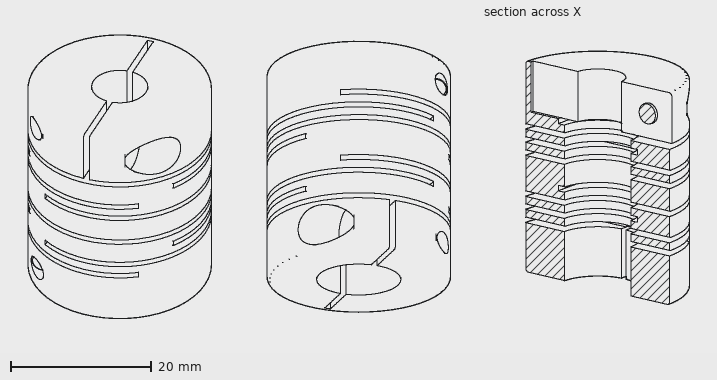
import cadquery as cq

length = 31.5
outer_diameter = 26.2
outer_radius = outer_diameter / 2
edge_fillet = 0.5
upper_bore_diameter = 8.0
lower_bore_diameter = 12.0

slit_width = 0.88
slit_depth = 7.5
slit_end = 12.05

slot_height = 0.75
slot_pitch = 1.95
slot_reach = 7.12
slot_group_pitch = 10.02
first_slot_top = length - slit_depth

screw_diameter = 3.02
screw_offset = 8.98
screw_height = slit_depth / 2
screw_tip_chamfer = 0.25
screw_tip_distance = 7.95
counterbore_diameter = 6.0
counterbore_seat = 5.42

LEFT = (-1, 0)
RIGHT = (1, 0)
FRONT = (0, -1)
BACK = (0, 1)

upper_group_sides = (FRONT, BACK, LEFT, RIGHT)
lower_group_sides = (FRONT, BACK, RIGHT, LEFT)


def make_body():
    """Stepped tube: small bore through the upper hub, large bore through the rest."""
    body = cq.Workplane("XY").circle(outer_radius).extrude(length)
    body = body.edges().fillet(edge_fillet)
    upper_bore = cq.Workplane("XY").circle(upper_bore_diameter / 2).extrude(length)
    lower_bore = cq.Workplane("XY").circle(lower_bore_diameter / 2).extrude(first_slot_top)
    return body.cut(upper_bore).cut(lower_bore)


def side_cut(side, reach, width, bottom, height):
    """Box open towards one side that ends at `reach` past the axis on the other side."""
    span = outer_radius + reach
    middle = (outer_radius - reach) / 2
    size_x = span if side[0] else width
    size_y = span if side[1] else width
    return (
        cq.Workplane("XY")
        .box(size_x, size_y, height, centered=(True, True, False))
        .translate((side[0] * middle, side[1] * middle, bottom))
    )


def cut_flexure_slots(body):
    for group, sides in enumerate((upper_group_sides, lower_group_sides)):
        for index, side in enumerate(sides):
            top = first_slot_top - group * slot_group_pitch - index * slot_pitch
            bottom = top - slot_height
            body = body.cut(side_cut(side, slot_reach, outer_diameter, bottom, slot_height))
    return body


def rod(slit_side, head_side, height, diameter, start, end):
    """Cylinder on the screw axis, from `start` to `end` measured towards the screw head."""
    origin = cq.Vector(
        slit_side[0] * screw_offset + head_side[0] * start,
        slit_side[1] * screw_offset + head_side[1] * start,
        height,
    )
    direction = cq.Vector(head_side[0], head_side[1], 0)
    return cq.Workplane(cq.Solid.makeCylinder(diameter / 2, end - start, origin, direction))


def add_clamp(body, slit_side, head_side, slit_bottom, height):
    """Slit one hub, then place its screw with a recessed tip and a counterbore for the head."""
    body = body.cut(side_cut(slit_side, slit_end, slit_width, slit_bottom, slit_depth))

    tip_foot = -screw_tip_distance + screw_tip_chamfer
    tip_hole = rod(slit_side, head_side, height, screw_diameter, -outer_radius, tip_foot)
    counterbore = rod(
        slit_side, head_side, height, counterbore_diameter, counterbore_seat, outer_radius
    )
    body = body.cut(tip_hole).cut(counterbore)

    screw = rod(
        slit_side, head_side, height, screw_diameter, -screw_tip_distance, counterbore_seat
    )
    tip_face = cq.NearestToPointSelector(
        (
            slit_side[0] * screw_offset - head_side[0] * screw_tip_distance,
            slit_side[1] * screw_offset - head_side[1] * screw_tip_distance,
            height,
        )
    )
    screw = screw.faces(tip_face).chamfer(screw_tip_chamfer)
    return body.union(screw)


result = make_body()
result = cut_flexure_slots(result)
result = add_clamp(result, FRONT, RIGHT, length - slit_depth, length - screw_height)
result = add_clamp(result, LEFT, BACK, 0, screw_height)